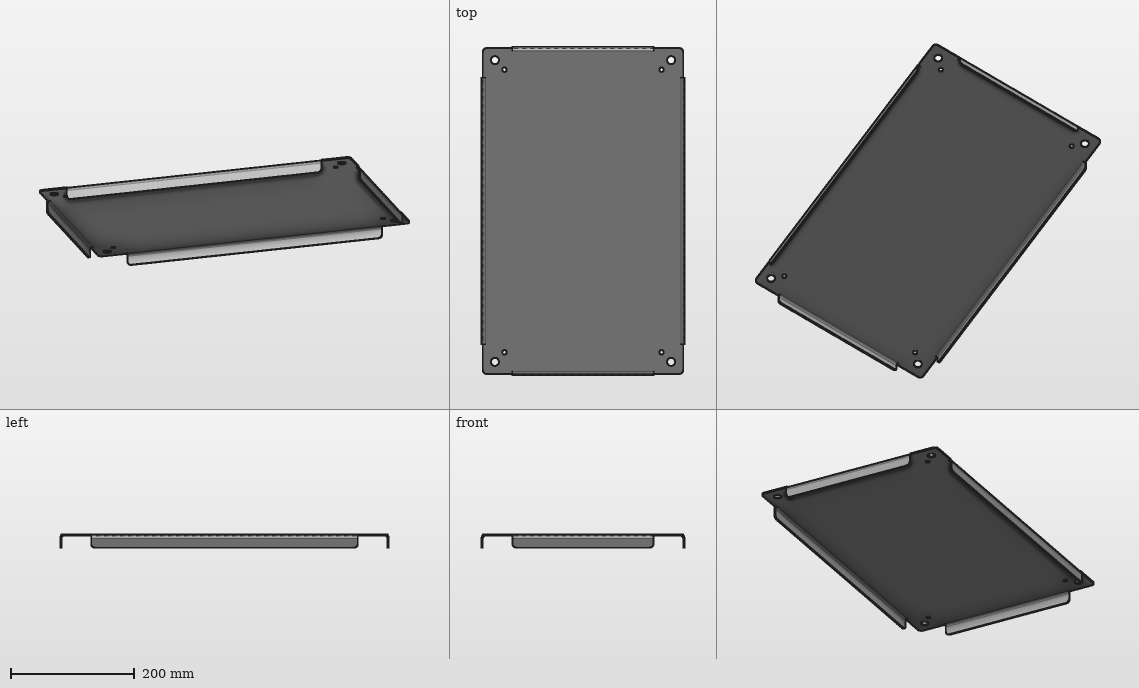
import cadquery as cq

width = 328.5
length = 532.0
height = 22.0
sheet = 2.5
bend_radius = 6.5

panel_inset = 2.0
panel_corner_radius = 6.5

flange_end_gap = 50.0
flange_corner_radius = 6.5

mount_diameter = 13.0
mount_inset = 22.0
pilot_diameter = 7.0
pilot_inset = 37.0


def make_panel():
    """Flat sheet with rounded corners, top face at Z = 0."""
    return (
        cq.Workplane("XY")
        .workplane(offset=-sheet)
        .rect(width - 2 * panel_inset, length - 2 * panel_inset)
        .extrude(sheet)
        .edges("|Z")
        .fillet(panel_corner_radius)
    )


def bend_clearance(reach, span):
    """Block removing the panel strip that the flange bend replaces."""
    return cq.Workplane("XY").box(2 * bend_radius, span, 2 * height).translate((reach, 0, 0))


def make_flange(reach, span):
    """Bent flange on the +X side, its outer face at X = reach."""
    bend_start = reach - bend_radius
    inner_radius = bend_radius - sheet
    bend_diagonal = 0.5 ** 0.5
    outer_mid = (bend_start + bend_radius * bend_diagonal, bend_radius * (bend_diagonal - 1))
    inner_mid = (bend_start + inner_radius * bend_diagonal, inner_radius * bend_diagonal - bend_radius)
    return (
        cq.Workplane("XZ")
        .moveTo(bend_start, 0)
        .threePointArc(outer_mid, (reach, -bend_radius))
        .lineTo(reach, -height)
        .lineTo(reach - sheet, -height)
        .lineTo(reach - sheet, -bend_radius)
        .threePointArc(inner_mid, (bend_start, -sheet))
        .close()
        .extrude(span / 2, both=True)
        .faces("<Z")
        .edges("|X")
        .fillet(flange_corner_radius)
    )


def corner_holes(diameter, inset):
    """Four through-hole cutters, one near each panel corner."""
    return (
        cq.Workplane("XY")
        .rect(width - 2 * inset, length - 2 * inset, forConstruction=True)
        .vertices()
        .circle(diameter / 2)
        .extrude(-sheet)
    )


result = make_panel()

for angle in (0, 90, 180, 270):
    on_long_side = angle % 180 == 0
    reach = (width if on_long_side else length) / 2
    span = (length if on_long_side else width) - 2 * flange_end_gap
    clearance = bend_clearance(reach, span).rotate((0, 0, 0), (0, 0, 1), angle)
    flange = make_flange(reach, span).rotate((0, 0, 0), (0, 0, 1), angle)
    result = result.cut(clearance).union(flange)

for diameter, inset in ((mount_diameter, mount_inset), (pilot_diameter, pilot_inset)):
    result = result.cut(corner_holes(diameter, inset))